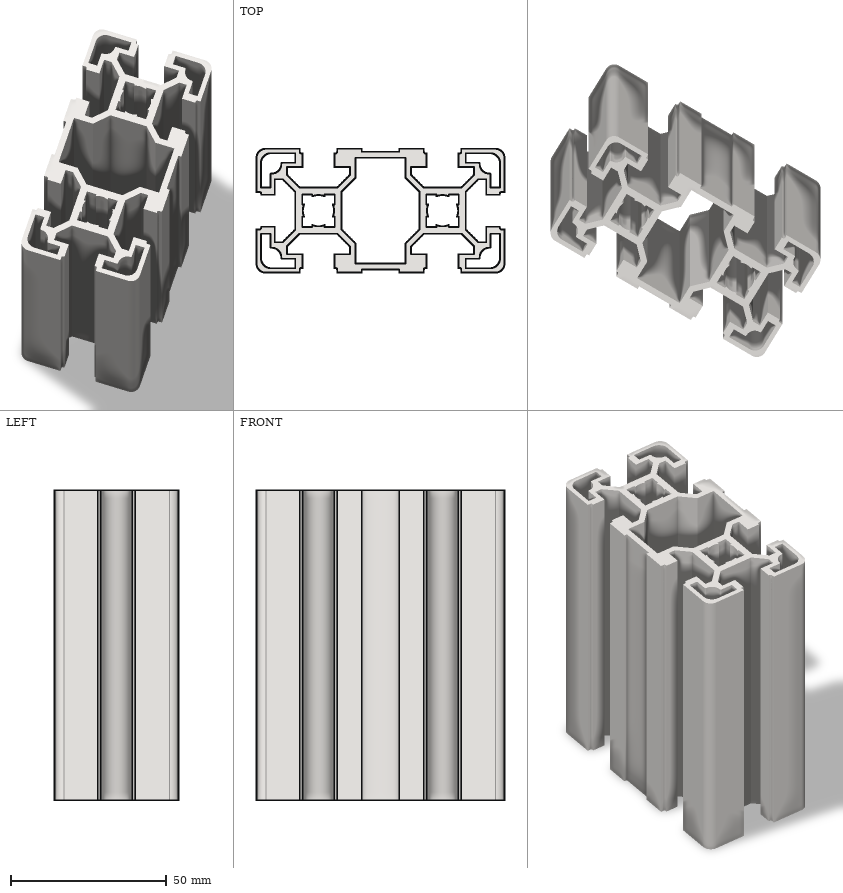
import cadquery as cq

length = 100.0
cell = 40.0
half_cell = cell / 2
outer_radius = 3.0

mouth_step = 1.5
mouth_step_half = 6.0
mouth_step_round = 0.5
mouth_half = 5.1
lip_thickness = 6.0
slot_half = 10.1
core_half = 7.5
web_offset = 1.4

bore_radius = 5.0
bore_square_half = 5.2
bore_pad_half = 2.0

wall = 1.5
chamber_end = 7.5
chamber_outer_round = 3.2
chamber_bulge = 3.5
chamber_bulge_round = 3.0
chamber_edge_round = 0.4

centre_half_x = 8.0
centre_half_y = 17.0
recess_half = 6.0
recess_depth = 1.0

cell_centres = [-half_cell, half_cell]


def prism(points):
    """Full-length prism over a closed polygon."""
    return cq.Workplane("XY").polyline(points).close().extrude(length)


def box(x_min, x_max, y_min, y_max):
    """Full-length box between the given X and Y limits."""
    return prism([(x_min, y_min), (x_max, y_min), (x_max, y_max), (x_min, y_max)])


def round_corner(body, corner, radius):
    """Fillet the lengthwise edge of a prism nearest to the given XY corner."""
    x, y = corner
    return body.edges("|Z").edges(cq.NearestToPointSelector((x, y, length / 2))).fillet(radius)


def slot():
    """T-slot open to +Y in a cell centred on the origin."""
    lip_inside = half_cell - lip_thickness
    step_floor = half_cell - mouth_step
    half_outline = [
        (0, core_half),
        (core_half - web_offset, core_half),
        (slot_half, slot_half + web_offset),
        (slot_half, lip_inside),
        (mouth_half, lip_inside),
        (mouth_half, step_floor),
        (mouth_step_half, step_floor),
        (mouth_step_half, half_cell),
        (0, half_cell),
    ]
    half_slot = round_corner(prism(half_outline), (mouth_step_half, step_floor), mouth_step_round)
    return half_slot.union(half_slot.mirror("YZ"))


def bore():
    """Round bore with four square corner reliefs, centred on the origin."""
    cut = cq.Workplane("XY").circle(bore_radius).extrude(length)
    for x_side in (-1, 1):
        for y_side in (-1, 1):
            near_x, far_x = x_side * bore_pad_half, x_side * bore_square_half
            near_y, far_y = y_side * bore_pad_half, y_side * bore_square_half
            cut = cut.union(box(near_x, far_x, near_y, far_y))
    return cut


def corner_chamber():
    """L-shaped chamber in the +X +Y corner of a cell centred on the origin."""
    outer = half_cell - wall
    inner = half_cell - lip_thickness + wall
    tip = inner - chamber_bulge
    outline = [
        (chamber_end, inner),
        (tip, inner),
        (tip, tip),
        (inner, tip),
        (inner, chamber_end),
        (outer, chamber_end),
        (outer, outer),
        (chamber_end, outer),
    ]
    chamber = prism(outline)
    chamber = round_corner(chamber, (outer, outer), chamber_outer_round)
    chamber = round_corner(chamber, (tip, tip), chamber_bulge_round)
    chamber = round_corner(chamber, (tip, inner), chamber_edge_round)
    return round_corner(chamber, (inner, tip), chamber_edge_round)


def central_chamber():
    """Large chamber between the cells, bounded by the webs and the two cores."""
    core_x = half_cell - core_half
    web_end_y = half_cell - centre_half_x - web_offset
    core_end_y = core_half - web_offset
    quarter = [(core_x, core_end_y), (centre_half_x, web_end_y), (centre_half_x, centre_half_y)]
    upper = quarter + [(-x, y) for x, y in reversed(quarter)]
    lower = [(-x, -y) for x, y in upper]
    return prism(upper + lower)


result = cq.Workplane("XY").rect(2 * cell, cell).extrude(length).edges("|Z").fillet(outer_radius)

slot_cut = slot()
bore_cut = bore()
for centre in cell_centres:
    outward = -90 if centre > 0 else 90
    for angle in (0, 180, outward):
        turned = slot_cut.rotate((0, 0, 0), (0, 0, 1), angle)
        result = result.cut(turned.translate((centre, 0, 0)))
    result = result.cut(bore_cut.translate((centre, 0, 0)))

chamber = corner_chamber().translate((half_cell, 0, 0))
chamber_pair = chamber.union(chamber.mirror("YZ"))
result = result.cut(chamber_pair).cut(chamber_pair.mirror("XZ"))

result = result.cut(central_chamber())
for side in (-1, 1):
    face = side * half_cell
    result = result.cut(box(-recess_half, recess_half, face - side * recess_depth, face))